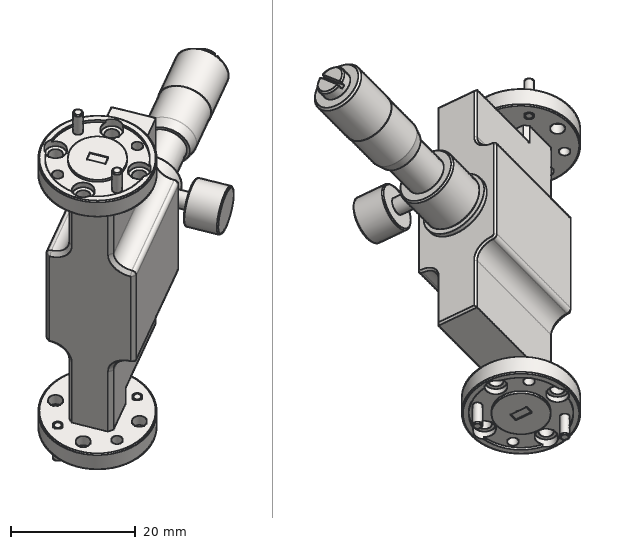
import cadquery as cq
import math

HALF_HEIGHT = 35.6

FLANGE_RADIUS = 9.55
FLANGE_THICKNESS = 3.8
FLANGE_CHAMFER = 0.2
PIN_PROTRUSION = 4.0
FLANGE_FACE_Z = HALF_HEIGHT - PIN_PROTRUSION
FLANGE_BACK_Z = FLANGE_FACE_Z - FLANGE_THICKNESS
BOSS_RADIUS = 4.8
RIM_INNER_RADIUS = 8.4
RECESS_DEPTH = 0.5
BOLT_CIRCLE_RADIUS = 7.1
BOLT_ANGLES = (0, 90, 180, 270)
DOWEL_ANGLES = (45, 135, 225, 315)
BOLT_HOLE_RADIUS = 1.2
COUNTERBORE_RADIUS = 1.85
COUNTERBORE_DEPTH = 1.65
DOWEL_HOLE_RADIUS = 0.9
WAVEGUIDE_WIDTH = 3.1
WAVEGUIDE_HEIGHT = 1.6
WAVEGUIDE_DEPTH = 0.2

PIN_DIAMETER = 1.65
PIN_RADIUS = PIN_DIAMETER / 2
PIN_CHAMFER = 0.2
PIN_ANGLES = (135, 315)

NECK_HALF_WIDTH = 3.8
NECK_CHAMFER = 0.7
BODY_HALF_WIDTH = 7.6
BODY_HALF_HEIGHT = 10.7
BODY_CORNER_RADIUS = 0.8
SHOULDER_RADIUS = BODY_HALF_WIDTH - NECK_HALF_WIDTH - BODY_CORNER_RADIUS
BACK_HALF_HEIGHT = 24.15
BACK_Y = 18.3
BACK_CHAMFER = 0.35
EDGE_SEARCH = 0.1

BASE_RING_RADIUS = 5.9
BASE_RING_END = 19.1
COLLAR_RADIUS = 5.2
COLLAR_END = 27.0
COLLAR_CHAMFER = 0.3
SLEEVE_RADIUS = 3.5
THIMBLE_START = 34.3
THIMBLE_NOSE_RADIUS = 4.0
THIMBLE_NOSE_END = 36.1
THIMBLE_RADIUS = 4.5
GRIP_START = 43.3
GRIP_RADIUS = 4.55
GRIP_END = 52.3
GRIP_CHAMFER = 0.35
CAP_RADIUS = 2.65
CAP_END = 54.2
CAP_CHAMFER = 0.3
SLOT_WIDTH = 0.65
SLOT_DEPTH = 1.1
SLOT_ANGLE = 45

SCREW_Y = 23.7
STEM_RADIUS = 1.5
KNOB_START = 7.85
KNOB_END = 13.75
KNOB_RADIUS = 4.05
KNOB_CHAMFER = 0.2


def on_bolt_circle(angle):
    """Point on the flange bolt circle at an angle from +X."""
    return (
        BOLT_CIRCLE_RADIUS * math.cos(math.radians(angle)),
        BOLT_CIRCLE_RADIUS * math.sin(math.radians(angle)),
    )


def upside_down(part):
    """Turn a part from the top end to the bottom end."""
    return part.rotate((0, 0, 0), (1, 0, 0), 180)


def make_block():
    """Cross-shaped block, extruded from the front face to the rear face."""
    neck_width = 2 * NECK_HALF_WIDTH
    block_depth = BACK_Y + NECK_HALF_WIDTH
    shoulder_z = BODY_HALF_HEIGHT + SHOULDER_RADIUS
    rear_plane = cq.Workplane("XZ", origin=(0, BACK_Y, 0))
    neck = cq.Workplane("XY").box(neck_width, neck_width, 2 * FLANGE_BACK_Z)
    middle = (
        rear_plane
        .rect(2 * BODY_HALF_WIDTH, 2 * BODY_HALF_HEIGHT)
        .extrude(block_depth)
        .edges("|Y")
        .fillet(BODY_CORNER_RADIUS)
    )
    spine = rear_plane.rect(neck_width, 2 * BACK_HALF_HEIGHT).extrude(block_depth)
    block = neck.union(middle).union(spine)
    for side_x in (-1, 1):
        for side_z in (-1, 1):
            arc_x = side_x * (NECK_HALF_WIDTH + SHOULDER_RADIUS)
            arc_mid_x = arc_x - side_x * SHOULDER_RADIUS * math.sqrt(0.5)
            arc_mid_z = side_z * (shoulder_z - SHOULDER_RADIUS * math.sqrt(0.5))
            shoulder = (
                rear_plane
                .moveTo(side_x * NECK_HALF_WIDTH, side_z * BODY_HALF_HEIGHT)
                .lineTo(side_x * NECK_HALF_WIDTH, side_z * shoulder_z)
                .threePointArc((arc_mid_x, arc_mid_z), (arc_x, side_z * BODY_HALF_HEIGHT))
                .close()
                .extrude(block_depth)
            )
            block = block.union(shoulder)
    block = block.clean()
    block = block.faces("<Y").edges("not |X").chamfer(NECK_CHAMFER)
    stub_edges = cq.selectors.BoxSelector(
        (-BODY_HALF_WIDTH, NECK_HALF_WIDTH - EDGE_SEARCH, -HALF_HEIGHT),
        (BODY_HALF_WIDTH, NECK_HALF_WIDTH + EDGE_SEARCH, HALF_HEIGHT),
    )
    block = block.edges("|Z").edges(stub_edges).chamfer(NECK_CHAMFER)
    return block.faces(">Y").chamfer(BACK_CHAMFER)


def make_flange():
    """Round top flange with a recessed face, bolt holes, dowel holes and pin holes."""
    flange = (
        cq.Workplane("XY", origin=(0, 0, FLANGE_BACK_Z))
        .circle(FLANGE_RADIUS)
        .extrude(FLANGE_THICKNESS)
        .edges()
        .chamfer(FLANGE_CHAMFER)
    )
    face = cq.Workplane("XY", origin=(0, 0, FLANGE_FACE_Z))
    recess = face.circle(RIM_INNER_RADIUS).circle(BOSS_RADIUS).extrude(-RECESS_DEPTH)
    waveguide = face.rect(WAVEGUIDE_WIDTH, WAVEGUIDE_HEIGHT).extrude(-WAVEGUIDE_DEPTH)
    bolts = face.pushPoints([on_bolt_circle(angle) for angle in BOLT_ANGLES])
    bolt_holes = bolts.circle(BOLT_HOLE_RADIUS).extrude(-FLANGE_THICKNESS)
    counterbores = bolts.circle(COUNTERBORE_RADIUS).extrude(-COUNTERBORE_DEPTH)
    flange = flange.cut(recess).cut(waveguide).cut(bolt_holes).cut(counterbores)
    for angle in DOWEL_ANGLES:
        radius = PIN_RADIUS if angle in PIN_ANGLES else DOWEL_HOLE_RADIUS
        hole = face.center(*on_bolt_circle(angle)).circle(radius).extrude(-FLANGE_THICKNESS)
        flange = flange.cut(hole)
    return flange


def make_micrometer():
    """Base ring, clamp collar, sleeve, thimble and slotted end cap, turned about Y."""
    profile = [
        (0, BACK_Y),
        (BASE_RING_RADIUS, BACK_Y),
        (BASE_RING_RADIUS, BASE_RING_END),
        (COLLAR_RADIUS - COLLAR_CHAMFER, BASE_RING_END),
        (COLLAR_RADIUS, BASE_RING_END + COLLAR_CHAMFER),
        (COLLAR_RADIUS, COLLAR_END - COLLAR_CHAMFER),
        (COLLAR_RADIUS - COLLAR_CHAMFER, COLLAR_END),
        (SLEEVE_RADIUS, COLLAR_END),
        (SLEEVE_RADIUS, THIMBLE_START),
        (THIMBLE_NOSE_RADIUS, THIMBLE_START),
        (THIMBLE_RADIUS, THIMBLE_NOSE_END),
        (THIMBLE_RADIUS, GRIP_START),
        (GRIP_RADIUS, GRIP_START),
        (GRIP_RADIUS, GRIP_END - GRIP_CHAMFER),
        (GRIP_RADIUS - GRIP_CHAMFER, GRIP_END),
        (CAP_RADIUS, GRIP_END),
        (CAP_RADIUS, CAP_END - CAP_CHAMFER),
        (CAP_RADIUS - CAP_CHAMFER, CAP_END),
        (0, CAP_END),
    ]
    turned = cq.Workplane("XY").polyline(profile).close().revolve(360, (0, 0, 0), (0, 1, 0))
    slot = (
        cq.Workplane("XZ", origin=(0, CAP_END, 0))
        .rect(2 * CAP_RADIUS, SLOT_WIDTH)
        .extrude(SLOT_DEPTH)
        .rotate((0, 0, 0), (0, 1, 0), -SLOT_ANGLE)
    )
    return turned.cut(slot)


def make_clamp_screw():
    """Stem and knob that leave the collar toward +X."""
    stem = cq.Workplane("YZ").center(SCREW_Y, 0).circle(STEM_RADIUS).extrude(KNOB_START)
    knob = (
        cq.Workplane("YZ", origin=(KNOB_START, 0, 0))
        .center(SCREW_Y, 0)
        .circle(KNOB_RADIUS)
        .extrude(KNOB_END - KNOB_START)
        .edges()
        .chamfer(KNOB_CHAMFER)
    )
    return stem.union(knob)


def make_housing():
    """Block with both flanges, the micrometer and its clamp screw, as one solid."""
    top_flange = make_flange()
    bottom_flange = upside_down(top_flange)
    return (
        make_block()
        .union(top_flange)
        .union(bottom_flange)
        .union(make_micrometer())
        .union(make_clamp_screw())
    )


def make_pin(angle):
    """Alignment pin in the top flange, flush with the flange back."""
    return (
        cq.Workplane("XY", origin=(0, 0, FLANGE_BACK_Z))
        .center(*on_bolt_circle(angle))
        .circle(PIN_RADIUS)
        .extrude(HALF_HEIGHT - FLANGE_BACK_Z)
        .edges()
        .chamfer(PIN_CHAMFER)
    )


housing = make_housing()
pins = []
for pin_angle in PIN_ANGLES:
    pin = make_pin(pin_angle)
    pins.append(pin.val())
    pins.append(upside_down(pin).val())

result = cq.Compound.makeCompound([housing.val(), *pins])